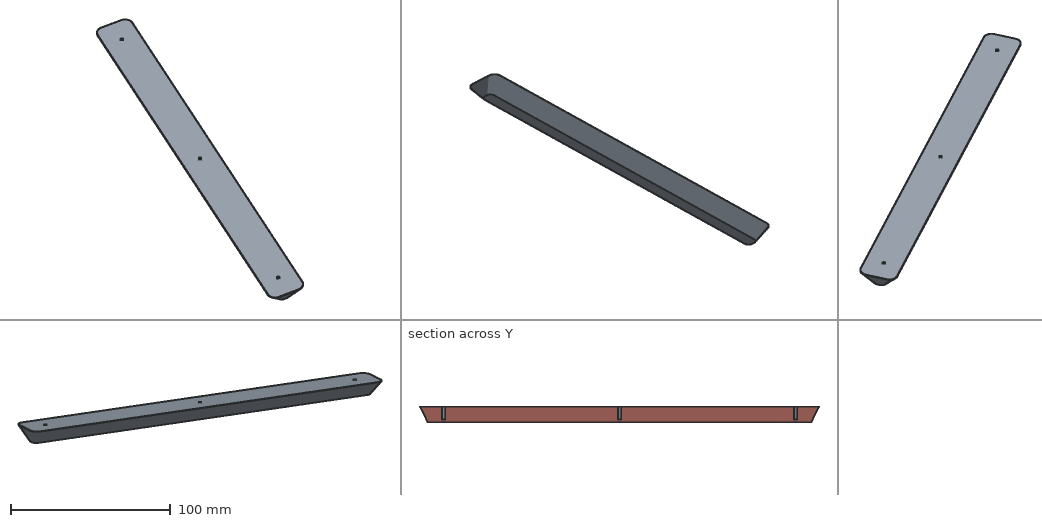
import cadquery as cq

height = 10.0

rim_length = 249.49
rim_width = 24.37
rim_corner_radius = 5.2

bevel_inset = 0.3
bevel_height = 0.3
rim_level = height - bevel_height

bottom_length = 240.0
bottom_width = 8.0
bottom_corner_radius = 3.0

hole_diameter = 1.75
hole_depth = 8.0
hole_spacing = 110.0


def rounded_outline(length, width, corner_radius, level):
    """Rounded rectangle centred on the Z axis at the given height."""
    outline = cq.Sketch().rect(length, width).vertices().fillet(corner_radius)
    return outline.moved(cq.Location(cq.Vector(0, 0, level)))


def straight_loft(lower, upper):
    """Solid with straight-line sides between two outlines."""
    return cq.Workplane("XY").placeSketch(lower, upper).loft(ruled=True)


def tapered_bar():
    """Bar that widens from the bottom face to the rim, then bevels in to the top face."""
    bottom = rounded_outline(bottom_length, bottom_width, bottom_corner_radius, 0)
    rim = rounded_outline(rim_length, rim_width, rim_corner_radius, rim_level)
    top = rounded_outline(
        rim_length - 2 * bevel_inset,
        rim_width - 2 * bevel_inset,
        rim_corner_radius - bevel_inset,
        height,
    )
    return straight_loft(bottom, rim).union(straight_loft(rim, top))


def drill_holes(bar):
    """One blind hole at mid-length and one near each end."""
    centers = [(step * hole_spacing, 0) for step in (-1, 0, 1)]
    top_plane = cq.Workplane("XY", origin=(0, 0, height))
    holes = top_plane.pushPoints(centers).circle(hole_diameter / 2).extrude(-hole_depth)
    return bar.cut(holes)


result = drill_holes(tapered_bar())